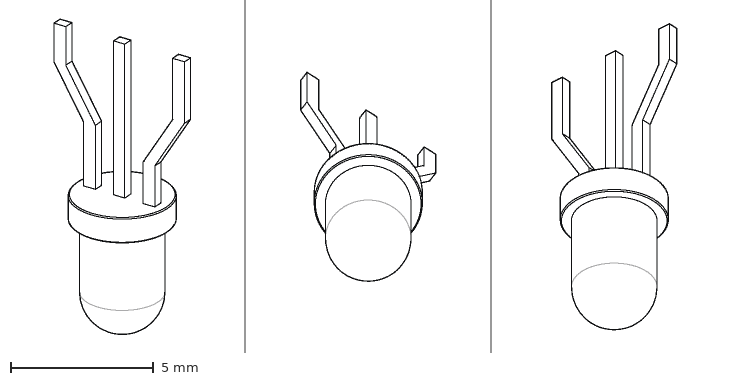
import cadquery as cq

total_height = 11.3

lens_diameter = 3.01
lens_radius = lens_diameter / 2

flange_diameter = 3.8
flange_height = 1.0
flange_bottom = 4.3
flange_top = flange_bottom + flange_height
flange_chamfer = 0.05

lead_thickness = 0.4
center_lead_width = 0.47
outer_lead_width = 0.51
outer_lead_span = 5.54
outer_lead_shift = 1.25
bend_height = 2.0
left_bend_bottom = 7.8
right_bend_bottom = 6.9


def make_lens():
    """Barrel up to the flange, with a tangent hemispherical dome below."""
    return (
        cq.Workplane("XZ")
        .moveTo(0, 0)
        .radiusArc((lens_radius, lens_radius), -lens_radius)
        .lineTo(lens_radius, flange_bottom)
        .lineTo(0, flange_bottom)
        .close()
        .revolve(360, (0, 0), (0, 1))
    )


def make_flange():
    """Disc on top of the lens, chamfered on both rims."""
    return (
        cq.Workplane("XY", origin=(0, 0, flange_bottom))
        .circle(flange_diameter / 2)
        .extrude(flange_height)
        .faces("<Z or >Z")
        .edges()
        .chamfer(flange_chamfer)
    )


def make_center_lead():
    """Straight lead on the axis."""
    return (
        cq.Workplane("XY", origin=(0, 0, flange_top))
        .rect(center_lead_width, lead_thickness)
        .extrude(total_height - flange_top)
    )


def make_bent_lead(side, bend_bottom):
    """Lead that steps outward; side is -1 for left and +1 for right."""
    upper_outer = outer_lead_span / 2
    upper_inner = upper_outer - outer_lead_width
    lower_outer = upper_outer - outer_lead_shift
    lower_inner = upper_inner - outer_lead_shift
    bend_top = bend_bottom + bend_height
    outline = [
        (side * lower_inner, flange_top),
        (side * lower_outer, flange_top),
        (side * lower_outer, bend_bottom),
        (side * upper_outer, bend_top),
        (side * upper_outer, total_height),
        (side * upper_inner, total_height),
        (side * upper_inner, bend_top),
        (side * lower_inner, bend_bottom),
    ]
    return cq.Workplane("XZ").polyline(outline).close().extrude(lead_thickness / 2, both=True)


lens = make_lens()
flange = make_flange()
center_lead = make_center_lead()
bent_leads = [
    make_bent_lead(side, bend_bottom)
    for side, bend_bottom in ((-1, left_bend_bottom), (1, right_bend_bottom))
]

result = cq.Compound.makeCompound(
    [lens.val(), flange.val(), center_lead.val(), *[lead.val() for lead in bent_leads]]
)